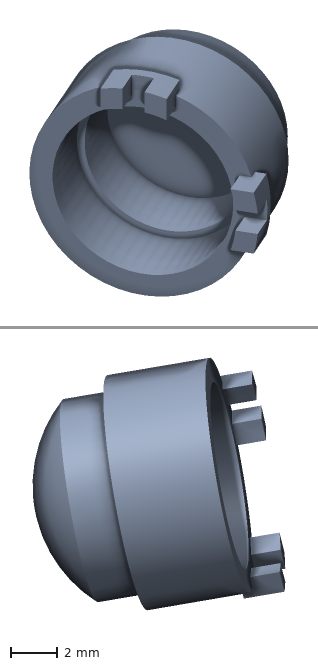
import cadquery as cq
import math

body_diameter = 10.3
body_length = 4.5
neck_diameter = 8.9
neck_length = 2.05
dome_height = 2.0

bore_diameter = 8.2
bore_depth = 3.4
seat_diameter = 7.5
seat_depth = body_length + neck_length

foot_length = 1.3
tab_overlap = 0.5
tab_width = 3.0
slot_width = 1.0
tab_outer_radius = 5.65
tab_thickness = 1.0
tab_inner_radius = tab_outer_radius - tab_thickness
tab_angles = (0, 90)


def cylinder(diameter, start, length):
    """Cylinder on the Y axis running from Y = start toward +Y."""
    plane = cq.Workplane("XZ", origin=(0, start, 0))
    return plane.circle(diameter / 2).extrude(-length)


def make_dome():
    """Spherical cap closing the end of the neck."""
    base_radius = neck_diameter / 2
    base = body_length + neck_length
    tip = base + dome_height
    sphere_radius = (base_radius**2 + dome_height**2) / (2 * dome_height)
    half_angle = math.asin(base_radius / sphere_radius) / 2
    arc_middle = (
        sphere_radius * math.sin(half_angle),
        tip - sphere_radius * (1 - math.cos(half_angle)),
    )
    profile = (
        cq.Workplane("XY")
        .moveTo(0, base)
        .lineTo(base_radius, base)
        .threePointArc(arc_middle, (0, tip))
        .close()
    )
    return profile.revolve(360, (0, 0, 0), (0, 1, 0))


def make_tab():
    """Curved tab on the +X side, slotted up to the rim to leave two feet."""
    length = foot_length + tab_overlap
    ring = cylinder(2 * tab_outer_radius, -foot_length, length).cut(
        cylinder(2 * tab_inner_radius, -foot_length, length)
    )
    strip = cq.Workplane("XY").box(
        tab_outer_radius, length, tab_width, centered=(False, False, True)
    ).translate((0, -foot_length, 0))
    slot = cq.Workplane("XY").box(
        tab_outer_radius, foot_length, slot_width, centered=(False, False, True)
    ).translate((0, -foot_length, 0))
    return ring.intersect(strip).cut(slot)


body = cylinder(body_diameter, 0, body_length)
neck = cylinder(neck_diameter, body_length, neck_length)
result = body.union(neck).union(make_dome())

result = result.cut(cylinder(bore_diameter, 0, bore_depth))
result = result.cut(cylinder(seat_diameter, 0, seat_depth))

for angle in tab_angles:
    result = result.union(make_tab().rotate((0, 0, 0), (0, 1, 0), -angle))